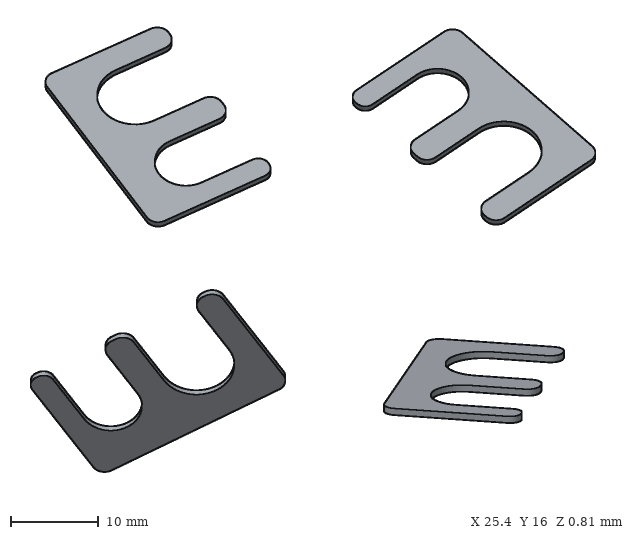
import cadquery as cq

length = 25.4
width = 16.0
thickness = 0.81
corner_radius = 1.5

slot_bottom_center_y = width / 2
wide_slot_center_x = 7.62
wide_slot_width = 8.64
narrow_slot_center_x = 19.05
narrow_slot_width = 7.1

slim_tip_radius = 1.3


def make_plate():
    """Rectangular blank with one corner at the origin."""
    return cq.Workplane("XY").box(length, width, thickness, centered=False)


def make_slot(center_x, slot_width):
    """Cutter for a round-bottomed slot that is open toward +Y."""
    radius = slot_width / 2
    return (
        cq.Workplane("XY")
        .moveTo(center_x - radius, width)
        .lineTo(center_x - radius, slot_bottom_center_y)
        .threePointArc(
            (center_x, slot_bottom_center_y - radius),
            (center_x + radius, slot_bottom_center_y),
        )
        .lineTo(center_x + radius, width)
        .close()
        .extrude(thickness)
    )


def round_corners(body):
    """Round the vertical edges at the finger tips and the two -Y corners."""
    slim_finger_start_x = narrow_slot_center_x + narrow_slot_width / 2
    margin = slim_tip_radius / 2
    slim_tip = cq.selectors.BoxSelector(
        (slim_finger_start_x - margin, width - margin, -margin),
        (length + margin, width + margin, thickness + margin),
    )
    body = body.edges(cq.selectors.StringSyntaxSelector("|Z") & slim_tip).fillet(slim_tip_radius)

    other_tips = cq.selectors.BoxSelector(
        (-margin, width - margin, -margin),
        (slim_finger_start_x - margin, width + margin, thickness + margin),
    )
    body = body.edges(cq.selectors.StringSyntaxSelector("|Z") & other_tips).fillet(corner_radius)

    return body.faces("<Y").edges("|Z").fillet(corner_radius)


plate = make_plate()
for slot_center_x, slot_width in (
    (wide_slot_center_x, wide_slot_width),
    (narrow_slot_center_x, narrow_slot_width),
):
    plate = plate.cut(make_slot(slot_center_x, slot_width))

result = round_corners(plate)